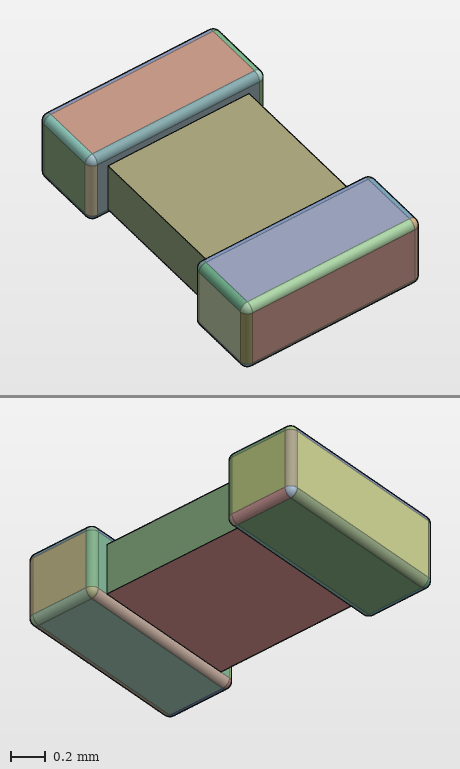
import cadquery as cq

length = 2.0
width = 1.25
height = 0.5

cap_length = 0.5
cap_edge_radius = 0.05

body_width = 1.0
body_height = 0.35
body_bottom = 0.05

cap_center_x = (length - cap_length) / 2
cap_spacing = 2 * cap_center_x


def end_cap(center_x):
    """Block with every edge rounded, resting on Z = 0."""
    block = cq.Workplane("XY").box(cap_length, width, height, centered=(True, True, False))
    return block.edges().fillet(cap_edge_radius).translate((center_x, 0, 0))


result = (
    cq.Workplane("XY")
    .workplane(offset=body_bottom)
    .box(cap_spacing, body_width, body_height, centered=(True, True, False))
)

for center_x in (-cap_center_x, cap_center_x):
    result = result.union(end_cap(center_x))